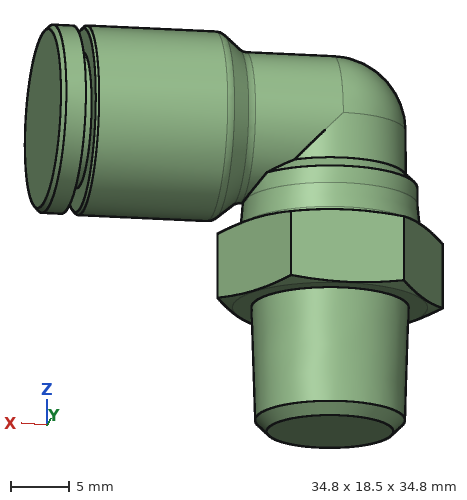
import cadquery as cq
import math


pipe_radius = 13 / 2

cone_start_x = 8.0
cone_end_x = 10.0
cone_blend_radius = 1.0
sleeve_radius = 16.3 / 2
sleeve_end_x = 21.8
sleeve_chamfer = 0.25

ring_neck_radius = 11.7 / 2
ring_start_x = 22.9
ring_end_x = 25.0
ring_width = 18.5
ring_height = 16.0
ring_chamfer = 0.4

collar_radius = 15 / 2
collar_base_radius = 7.73
collar_shoulder_z = -5.0
collar_top_z = collar_shoulder_z + (collar_radius - pipe_radius)
collar_taper_z = -6.5
collar_blend = 0.4

hex_across_flats = 17.0
hex_top_z = -9.1
hex_height = 6.5
hex_bottom_z = hex_top_z - hex_height
hex_corner_radius = hex_across_flats / math.sqrt(3)
hex_chamfer_radius = 8.37
hex_chamfer_angle = math.radians(16)

thread_length = 11.0
thread_top_radius = 6.75
thread_end_z = hex_bottom_z - thread_length
thread_slope = 1 / 32
thread_chamfer = 1.0
thread_end_radius = thread_top_radius - thread_slope * thread_length


def make_elbow():
    """Two pipe legs meeting in a spherical corner."""
    corner = cq.Workplane("XY").sphere(pipe_radius)
    down_leg = cq.Workplane("XY").circle(pipe_radius).extrude(hex_top_z)
    side_leg = cq.Workplane("YZ").circle(pipe_radius).extrude(cone_end_x)
    return corner.union(down_leg).union(side_leg)


def make_sleeve():
    """Socket sleeve that widens from the pipe through a blended cone."""
    sleeve = (
        cq.Workplane("XZ")
        .polyline([
            (0, 0),
            (0, pipe_radius),
            (cone_start_x, pipe_radius),
            (cone_end_x, sleeve_radius),
            (sleeve_end_x, sleeve_radius),
            (sleeve_end_x, 0),
        ])
        .close()
        .revolve(360, (0, 0, 0), (1, 0, 0))
    )
    for corner_x in (cone_start_x, cone_end_x):
        corner_edge = cq.NearestToPointSelector((corner_x, 0, 0))
        sleeve = sleeve.edges("%CIRCLE").edges(corner_edge).fillet(cone_blend_radius)
    return sleeve.faces(">X").edges().chamfer(sleeve_chamfer)


def make_release_ring():
    """Oval release ring on a round neck."""
    neck_length = ring_end_x - sleeve_end_x
    neck = cq.Workplane("YZ", origin=(sleeve_end_x, 0, 0)).circle(ring_neck_radius).extrude(neck_length)
    ring = (
        cq.Workplane("YZ", origin=(ring_start_x, 0, 0))
        .ellipse(ring_width / 2, ring_height / 2)
        .extrude(ring_end_x - ring_start_x)
        .faces(">X")
        .edges()
        .chamfer(ring_chamfer)
    )
    return neck.union(ring)


def make_collar():
    """Shouldered collar that tapers outward and blends into the hexagon."""
    blend_top_z = hex_top_z + collar_blend
    blend_end_radius = collar_base_radius + collar_blend
    return (
        cq.Workplane("XZ")
        .moveTo(0, collar_top_z)
        .lineTo(pipe_radius, collar_top_z)
        .lineTo(collar_radius, collar_shoulder_z)
        .lineTo(collar_radius, collar_taper_z)
        .lineTo(collar_base_radius, blend_top_z)
        .radiusArc((blend_end_radius, hex_top_z), -collar_blend)
        .lineTo(0, hex_top_z)
        .close()
        .revolve(360, (0, 0, 0), (0, 1, 0))
    )


def make_hexagon():
    """Hexagon with corners on the X axis, turned to a cone at both ends."""
    prism = (
        cq.Workplane("XY", origin=(0, 0, hex_bottom_z))
        .polygon(6, 2 * hex_corner_radius)
        .extrude(hex_height)
    )
    chamfer_depth = (hex_corner_radius - hex_chamfer_radius) * math.tan(hex_chamfer_angle)
    turned_blank = (
        cq.Workplane("XZ")
        .polyline([
            (0, hex_bottom_z),
            (hex_chamfer_radius, hex_bottom_z),
            (hex_corner_radius, hex_bottom_z + chamfer_depth),
            (hex_corner_radius, hex_top_z - chamfer_depth),
            (hex_chamfer_radius, hex_top_z),
            (0, hex_top_z),
        ])
        .close()
        .revolve(360, (0, 0, 0), (0, 1, 0))
    )
    return prism.intersect(turned_blank)


def make_thread_stem():
    """Tapered stem with a chamfered lower end."""
    chamfer_top_z = thread_end_z + thread_chamfer
    chamfer_top_radius = thread_end_radius + thread_slope * thread_chamfer
    return (
        cq.Workplane("XZ")
        .polyline([
            (0, hex_bottom_z),
            (thread_top_radius, hex_bottom_z),
            (chamfer_top_radius, chamfer_top_z),
            (chamfer_top_radius - thread_chamfer, thread_end_z),
            (0, thread_end_z),
        ])
        .close()
        .revolve(360, (0, 0, 0), (0, 1, 0))
    )


result = (
    make_elbow()
    .union(make_sleeve())
    .union(make_release_ring())
    .union(make_collar())
    .union(make_hexagon())
    .union(make_thread_stem())
)